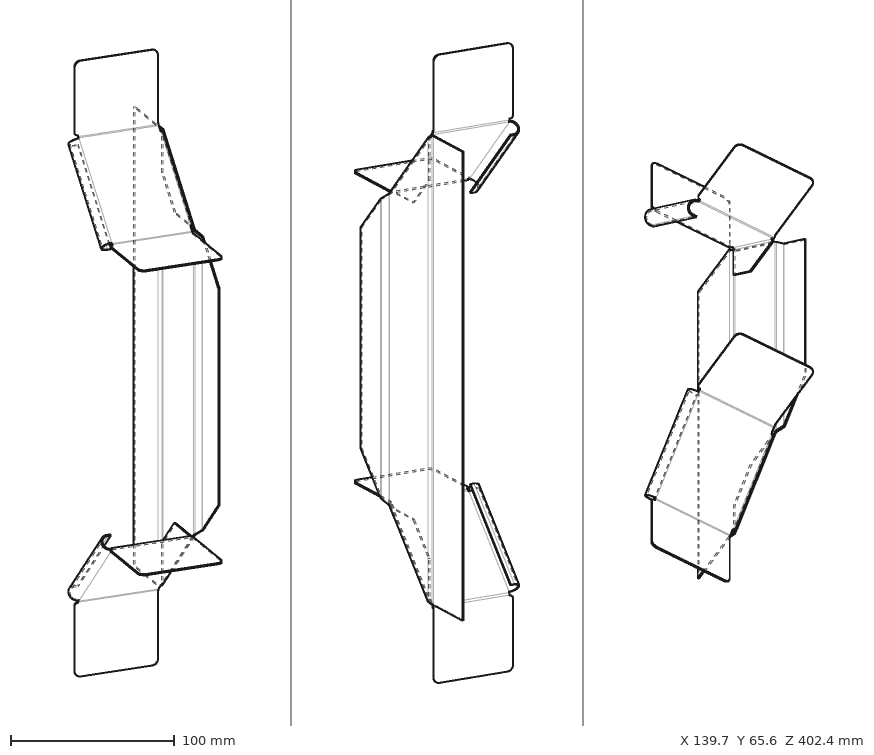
import cadquery as cq
import math

SHEET = 1.0

LEFT_FLANGE_WIDTH = 37.5
LEFT_JOG = 2.2
CHANNEL_RIGHT = 88.0
RIGHT_JOG = 3.82
COVER_WIDTH = 116.7
JOG_BEND = 0.5
COVER_HALF_HEIGHT = 150.0

TAB_FACE_X = 38.5
TAB_FACE_Z = 100.0
WEB_RISE = 52.0
INNER_BEND = 1.0
TAB_END_Z = 201.2
TAB_BACK = -2.5
TAB_FRONT = -58.0
TAB_CORNER = 4.0
TAB_ROOT_CORNER = 2.0
FLANGE_DEPTH = 20.5
FLANGE_TIP_LENGTH = 27.8
HEM_RADIUS = 5.2
HEM_LENGTH = 71.5
HEM_LIP = 2.5
FRONT = -60.8

OUTER_BEND = INNER_BEND + SHEET
HEM_CENTER_Y = FRONT + HEM_RADIUS
WEB_TOP_Z = TAB_FACE_Z + WEB_RISE
WEB_RIGHT_X = TAB_FACE_X + WEB_RISE
TAB_ROOT = SHEET
TAB_ROOT_Z = WEB_TOP_Z + TAB_ROOT
TAB_ROOT_X = WEB_RIGHT_X + TAB_ROOT
WEB_MID = (TAB_FACE_X + WEB_RISE / 2, 0, TAB_FACE_Z + WEB_RISE / 2)
FLANGE_BASE_LENGTH = FLANGE_TIP_LENGTH + 2 * (FLANGE_DEPTH - OUTER_BEND)
MITRE = SHEET * (math.sqrt(2) - 1)


def round_corners(body, axis, corners, radius):
    """Fillet the edges along the axis ("Y" or "Z") that pass through the given section corners."""
    for first, second in corners:
        point = (first, second, 0) if axis == "Z" else (first, 0, second)
        body = body.edges("|" + axis).edges(cq.selectors.NearestToPointSelector(point)).fillet(radius)
    return body


def make_cover():
    """Jogged sheet, with both ends cut at 45 degrees to the right of the left flange."""
    front_line = [
        (0, -LEFT_JOG),
        (LEFT_FLANGE_WIDTH, -LEFT_JOG),
        (LEFT_FLANGE_WIDTH + LEFT_JOG, 0),
        (CHANNEL_RIGHT, 0),
        (CHANNEL_RIGHT + RIGHT_JOG, RIGHT_JOG),
        (COVER_WIDTH, RIGHT_JOG),
    ]
    back_line = [(x - MITRE, y + SHEET) for x, y in front_line[1:-1]]
    back_line = [(0, SHEET - LEFT_JOG), *back_line, (COVER_WIDTH, RIGHT_JOG + SHEET)]
    sheet = (
        cq.Workplane("XY", origin=(0, 0, -COVER_HALF_HEIGHT))
        .polyline(front_line + back_line[::-1])
        .close()
        .extrude(2 * COVER_HALF_HEIGHT)
    )
    hollow = [front_line[1], back_line[2], back_line[3], front_line[4]]
    crest = [back_line[1], front_line[2], front_line[3], back_line[4]]
    sheet = round_corners(sheet, "Z", hollow, JOG_BEND)
    sheet = round_corners(sheet, "Z", crest, JOG_BEND + SHEET)
    right_half_height = COVER_HALF_HEIGHT - (COVER_WIDTH - LEFT_FLANGE_WIDTH)
    outline = (
        cq.Workplane("XZ", origin=(0, RIGHT_JOG + SHEET, 0))
        .moveTo(0, -COVER_HALF_HEIGHT)
        .lineTo(LEFT_FLANGE_WIDTH, -COVER_HALF_HEIGHT)
        .lineTo(COVER_WIDTH, -right_half_height)
        .lineTo(COVER_WIDTH, right_half_height)
        .lineTo(LEFT_FLANGE_WIDTH, COVER_HALF_HEIGHT)
        .lineTo(0, COVER_HALF_HEIGHT)
        .close()
        .extrude(RIGHT_JOG + SHEET + LEFT_JOG)
    )
    return sheet.intersect(outline)


def web_section_plane():
    """Plane across the middle of the web: local x points inward from its outer face, local y is Y."""
    return cq.Workplane(cq.Plane(origin=WEB_MID, xDir=(-1, 0, -1), normal=(1, 0, -1)))


def make_web():
    """Flat 45 degree web with a rounded bend at each end that leads into a tab."""
    inner_x = TAB_FACE_X - SHEET
    inner_z = TAB_FACE_Z - SHEET
    hollow = [(TAB_FACE_X, WEB_TOP_Z), (WEB_RIGHT_X, TAB_FACE_Z)]
    crest = [(inner_x, WEB_TOP_Z - MITRE), (WEB_RIGHT_X - MITRE, inner_z)]
    web = (
        cq.Workplane("XZ", origin=(0, -OUTER_BEND, 0))
        .polyline([
            (TAB_FACE_X, TAB_ROOT_Z),
            *hollow,
            (TAB_ROOT_X, TAB_FACE_Z),
            (TAB_ROOT_X, inner_z),
            *crest[::-1],
            (inner_x, TAB_ROOT_Z),
        ])
        .close()
        .extrude(-OUTER_BEND - HEM_CENTER_Y)
    )
    web = round_corners(web, "Y", hollow, INNER_BEND)
    return round_corners(web, "Y", crest, OUTER_BEND)


def make_back_flange():
    """Quarter-round bend and the trapezoid flange that lies on the cover channel."""
    bend = (
        web_section_plane()
        .moveTo(0, -OUTER_BEND)
        .radiusArc((OUTER_BEND, 0), OUTER_BEND)
        .lineTo(OUTER_BEND, -SHEET)
        .radiusArc((SHEET, -OUTER_BEND), -INNER_BEND)
        .close()
        .extrude(FLANGE_BASE_LENGTH / 2, both=True)
    )
    flange = (
        cq.Workplane(cq.Plane(origin=WEB_MID, xDir=(-1, 0, -1), normal=(0, -1, 0)))
        .moveTo(OUTER_BEND, -FLANGE_BASE_LENGTH / 2)
        .lineTo(FLANGE_DEPTH, -FLANGE_TIP_LENGTH / 2)
        .lineTo(FLANGE_DEPTH, FLANGE_TIP_LENGTH / 2)
        .lineTo(OUTER_BEND, FLANGE_BASE_LENGTH / 2)
        .close()
        .extrude(SHEET)
    )
    return bend.union(flange)


def make_hem():
    """Half-round hem on the front edge of the web, ending in a short straight lip."""
    diameter = 2 * HEM_RADIUS
    lip_end_y = HEM_CENTER_Y + HEM_LIP
    return (
        web_section_plane()
        .moveTo(0, HEM_CENTER_Y)
        .threePointArc((HEM_RADIUS, FRONT), (diameter, HEM_CENTER_Y))
        .lineTo(diameter, lip_end_y)
        .lineTo(diameter - SHEET, lip_end_y)
        .lineTo(diameter - SHEET, HEM_CENTER_Y)
        .threePointArc((HEM_RADIUS, FRONT + SHEET), (SHEET, HEM_CENTER_Y))
        .close()
        .extrude(HEM_LENGTH / 2, both=True)
    )


def make_upright_tab():
    """Flat tab standing on the upper end of the web, rounded at all but its back root corner."""
    tab = cq.Workplane("XY").box(SHEET, TAB_BACK - TAB_FRONT, TAB_END_Z - TAB_ROOT_Z, centered=False)
    tab = tab.translate((TAB_FACE_X - SHEET, TAB_FRONT, TAB_ROOT_Z))
    tab = tab.edges("|X and >Z").fillet(TAB_CORNER)
    return tab.edges("|X and <Y and <Z").fillet(TAB_ROOT_CORNER)


def make_bracket(upper):
    """Upper bracket, or its mirror image at the lower end of the cover."""
    upright_tab = make_upright_tab()
    level_tab = upright_tab.mirror(cq.Vector(1, 0, -1), WEB_MID)
    bracket = make_web().union(make_back_flange()).union(make_hem())
    bracket = bracket.union(upright_tab).union(level_tab)
    return bracket if upper else bracket.mirror("XY")


cover = make_cover()
brackets = [make_bracket(upper) for upper in (True, False)]

result = cq.Compound.makeCompound([
    cover.solids().val(),
    *[bracket.solids().val() for bracket in brackets],
])